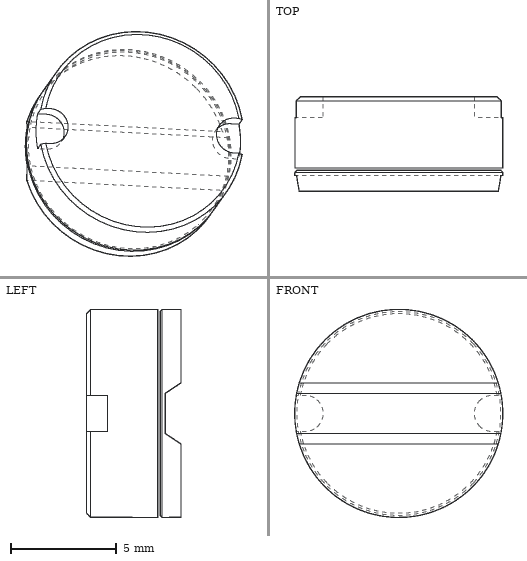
import cadquery as cq

diameter = 9.9
radius = diameter / 2
gap = 0.1

cap_thickness = 1.0
cap_chamfer = 0.1
groove_depth = 0.75
groove_mouth_width = 2.9
groove_floor_width = 1.9

base_thickness = 3.4
base_chamfer = 0.2
notch_width = 1.72
notch_depth = 1.0
notch_center_x = 4.45

cap_back_y = cap_thickness
base_front_y = cap_back_y + gap
base_back_y = base_front_y + base_thickness


def disc(front_y, thickness, chamfer):
    """Disc along +Y with a chamfer around its back rim."""
    blank = cq.Workplane("XZ", origin=(0, front_y, 0)).circle(radius).extrude(-thickness)
    return blank.faces(">Y").edges().chamfer(chamfer)


def groove_cutter():
    """Trapezoidal bar along X, widest at the front face of the cap."""
    half_mouth = groove_mouth_width / 2
    half_floor = groove_floor_width / 2
    profile = [
        (0, -half_mouth),
        (groove_depth, -half_floor),
        (groove_depth, half_floor),
        (0, half_mouth),
    ]
    return cq.Workplane("YZ").polyline(profile).close().extrude(radius, both=True)


def notch_cutter(side):
    """U-shaped notch open through the rim; side is -1 or +1 along X."""
    half_width = notch_width / 2
    center_x = side * notch_center_x
    round_end_x = center_x - side * half_width
    open_end_x = side * diameter
    return (
        cq.Workplane("XZ", origin=(0, base_back_y, 0))
        .moveTo(open_end_x, -half_width)
        .lineTo(center_x, -half_width)
        .threePointArc((round_end_x, 0), (center_x, half_width))
        .lineTo(open_end_x, half_width)
        .close()
        .extrude(notch_depth)
    )


def make_cap():
    return disc(0, cap_thickness, cap_chamfer).cut(groove_cutter())


def make_base():
    base = disc(base_front_y, base_thickness, base_chamfer)
    for side in (-1, 1):
        base = base.cut(notch_cutter(side))
    return base


cap = make_cap()
base = make_base()

result = cq.Compound.makeCompound([cap.val(), base.val()])